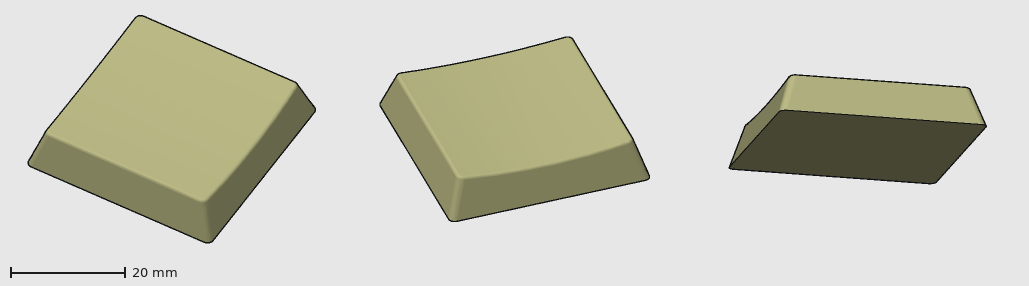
import cadquery as cq

base_width = 37.35
top_width = 32.55
height = 7.495
dish_depth = 1.0
corner_radius = 1.25
rim_radius = 0.6


def tapered_block():
    """Square frustum with its slanted corner edges rounded."""
    block = (
        cq.Workplane("XY")
        .rect(base_width, base_width)
        .workplane(offset=height)
        .rect(top_width, top_width)
        .loft(ruled=True)
    )
    return block.edges("not(#Z)").fillet(corner_radius)


def dish_cutter():
    """Cylinder with its axis along X that passes through the upper front and back edges."""
    half_chord = top_width / 2
    radius = (half_chord**2 + dish_depth**2) / (2 * dish_depth)
    axis_height = height - dish_depth + radius
    return (
        cq.Workplane("YZ")
        .center(0, axis_height)
        .circle(radius)
        .extrude(base_width / 2, both=True)
    )


def round_rim(body):
    """Round every edge of the dished top face."""
    return body.faces(">Z").edges().fillet(rim_radius)


dished_block = tapered_block().cut(dish_cutter())
result = round_rim(dished_block)